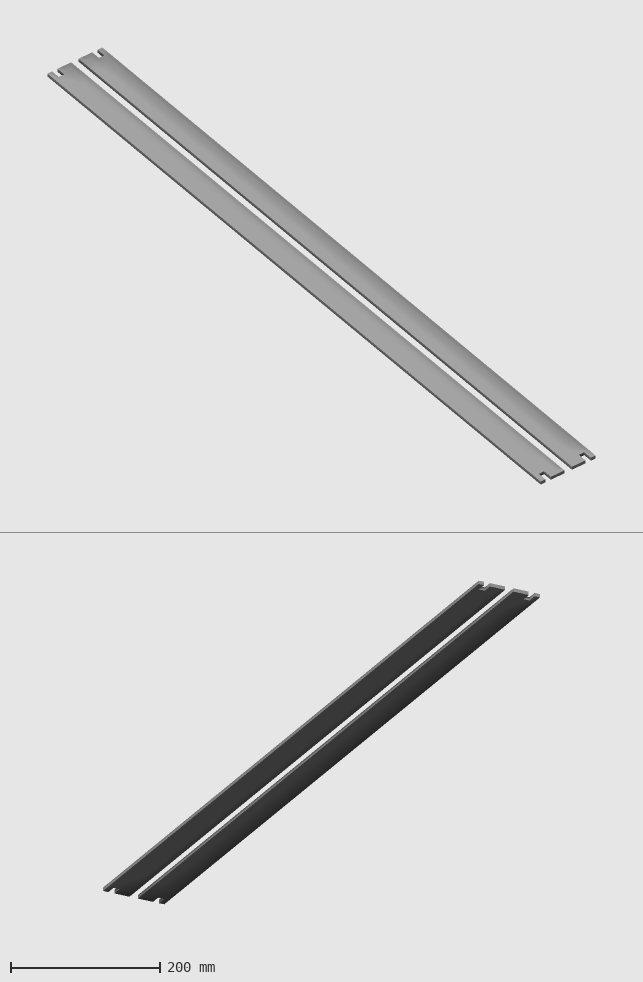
import cadquery as cq

length = 1096.0
pair_width = 92.5
thickness = 5.0

strip_width = 40.0
strip_offset = (pair_width - strip_width) / 2

notch_depth = 15.0
notch_width = 9.0
outer_margin = 8.0
notch_offset = strip_width / 2 - outer_margin - notch_width / 2


def make_strip(side):
    """One notched strip; side is +1 or -1 and gives the Y direction of its outer edge."""
    strip = cq.Workplane("XY").rect(length, strip_width).extrude(thickness)
    notch_cutters = (
        cq.Workplane("XY")
        .pushPoints([(end * length / 2, side * notch_offset) for end in (-1, 1)])
        .rect(2 * notch_depth, notch_width)
        .extrude(thickness)
    )
    return strip.cut(notch_cutters).translate((0, side * strip_offset, 0)).solids()


strips = [make_strip(side) for side in (1, -1)]

result = cq.Compound.makeCompound([strip.val() for strip in strips])